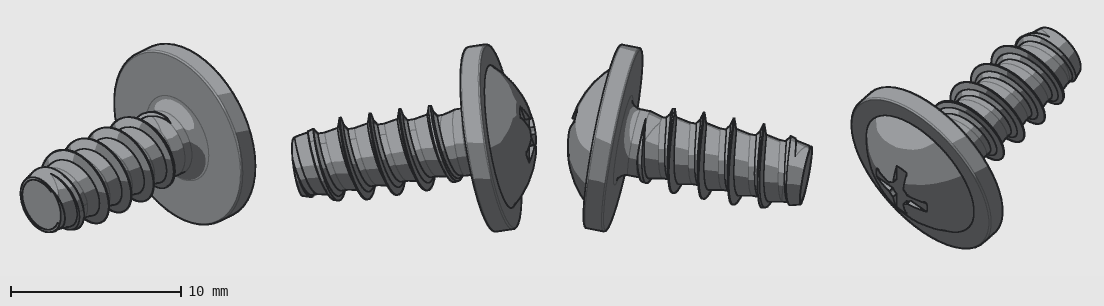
import cadquery as cq

flange_radius = 5.5
flange_thickness = 1.2
flange_edge_fillet = 0.1
dome_radius = 4.25
dome_height = 2.0

recess_core_radius = 0.81
recess_arm_width = 0.8
recess_arm_length = 2 * dome_radius
recess_floor_height = 1.62

screw_length = 11.0
shank_radius = 1.98
shank_length = 1.26
neck_fillet = 0.7
core_radius = 1.77
core_cone_end = 2.04

tip_radius = 1.74
dimple_radius = 1.66
dimple_depth = 0.1

thread_radius = 2.5
thread_pitch = 1.8
thread_first_crest = 0.66
thread_sink = 0.2
crest_overshoot = 0.05
crest_half_width = 0.015
upper_root_offset = 0.35
upper_knee_offset = 0.14
upper_knee_radius = 2.06
lower_root_offset = 0.235
lower_root_radius = 1.93
lower_cone_end = 1.06

run_in_start = 1.22
run_in_radius = 2.12
run_in_end = 3.2
run_out_start = 8.3


def make_head():
    flange = (
        cq.Workplane("XY")
        .circle(flange_radius)
        .extrude(-flange_thickness)
        .edges()
        .fillet(flange_edge_fillet)
    )
    sphere_radius = (dome_radius**2 + dome_height**2) / (2 * dome_height)
    sphere_centre = dome_height - sphere_radius
    mid_radius = dome_radius / 2
    mid_height = sphere_centre + (sphere_radius**2 - mid_radius**2) ** 0.5
    dome = (
        cq.Workplane("XZ")
        .moveTo(0, -flange_thickness)
        .lineTo(dome_radius, -flange_thickness)
        .threePointArc(
            (mid_radius, -flange_thickness - mid_height),
            (0, -flange_thickness - dome_height),
        )
        .close()
        .revolve(360, (0, 0, 0), (0, 1, 0))
    )
    return flange.union(dome).cut(make_recess())


def make_recess():
    floor = cq.Workplane("XY").workplane(offset=-flange_thickness - recess_floor_height)
    recess = floor.circle(recess_core_radius).extrude(-dome_height)
    for length_x, length_y in (
        (recess_arm_length, recess_arm_width),
        (recess_arm_width, recess_arm_length),
    ):
        recess = recess.union(floor.rect(length_x, length_y).extrude(-dome_height))
    return recess


def make_core():
    neck_radius = shank_radius + neck_fillet
    arc_reach = neck_fillet * (1 - 0.5**0.5)
    return (
        cq.Workplane("XZ")
        .moveTo(0, -flange_thickness / 2)
        .lineTo(neck_radius, -flange_thickness / 2)
        .lineTo(neck_radius, 0)
        .threePointArc((shank_radius + arc_reach, arc_reach), (shank_radius, neck_fillet))
        .lineTo(shank_radius, shank_length)
        .lineTo(core_radius, core_cone_end)
        .lineTo(core_radius, screw_length - lower_cone_end)
        .lineTo(tip_radius, screw_length)
        .lineTo(dimple_radius, screw_length)
        .lineTo(0, screw_length - dimple_depth)
        .close()
        .revolve(360, (0, 0, 0), (0, 1, 0))
    )


def make_thread():
    inner_radius = core_radius - thread_sink
    crest_radius = thread_radius + crest_overshoot
    section = [
        (inner_radius, -upper_root_offset),
        (core_radius, -upper_root_offset),
        (upper_knee_radius, -upper_knee_offset),
        (crest_radius, -crest_half_width),
        (crest_radius, crest_half_width),
        (lower_root_radius, lower_root_offset),
        (core_radius, lower_cone_end),
        (inner_radius, lower_cone_end),
    ]
    helix_height = screw_length + upper_root_offset - thread_first_crest
    helix = cq.Wire.makeHelix(
        thread_pitch, helix_height, core_radius, center=cq.Vector(0, 0, thread_first_crest)
    )
    ridge = (
        cq.Workplane("XZ")
        .polyline([(radius, thread_first_crest + offset) for radius, offset in section])
        .close()
        .sweep(cq.Workplane(helix), isFrenet=True)
    )
    for envelope in make_thread_envelopes():
        ridge = ridge.intersect(envelope)
    return ridge


def make_thread_envelopes():
    """One solid each for the run-in, the full thread and the run-out, all cut off at the tip."""
    run_in_slope = (thread_radius - run_in_radius) / (run_in_end - run_in_start)
    run_out_slope = (thread_radius - tip_radius) / (screw_length - run_out_start)
    run_in_full_radius = run_in_radius + run_in_slope * (screw_length - run_in_start)
    run_out_full_radius = tip_radius + run_out_slope * (screw_length - run_in_start)
    return [
        make_cone(run_in_radius, run_in_full_radius),
        make_cone(thread_radius, thread_radius),
        make_cone(run_out_full_radius, tip_radius),
    ]


def make_cone(start_radius, end_radius):
    return (
        cq.Workplane("XZ")
        .moveTo(0, run_in_start)
        .lineTo(start_radius, run_in_start)
        .lineTo(end_radius, screw_length)
        .lineTo(0, screw_length)
        .close()
        .revolve(360, (0, 0, 0), (0, 1, 0))
    )


screw = make_head().union(make_core()).union(make_thread())

result = screw.rotate((0, 0, 0), (1, 0, 0), 90)